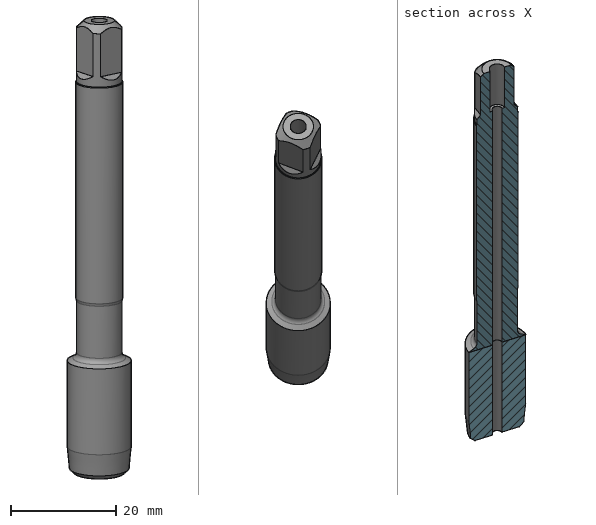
import cadquery as cq

total_length = 89.0

head_diameter = 12.2
lead_length = 5.2
lead_end_diameter = 11.4
tip_diameter = 9.5
tip_chamfer_height = 0.9
head_shoulder_z = 22.1

neck_diameter = 8.7
neck_fillet_radius = 1.2
shoulder_diameter = 10.1
shoulder_end_z = 22.6
neck_start_z = 23.7
neck_end_z = 33.9

shank_diameter = 9.0
shank_lower_chamfer_height = 0.5
shank_end_z = 77.1
shank_upper_chamfer_height = 0.2

drive_diameter = 8.7
square_width = 7.1
square_start_z = 79.1
runout_height = 0.9
drive_top_diameter = 5.8
drive_chamfer_height = 1.4

bore_diameter = 2.0
counterbore_diameter = 3.0
counterbore_depth = total_length - square_start_z

head_radius = head_diameter / 2
neck_radius = neck_diameter / 2
shank_radius = shank_diameter / 2
drive_radius = drive_diameter / 2


def revolve_profile(profile):
    """Turn a closed radius-height profile about the Z axis."""
    return profile.close().revolve(360, (0, 0, 0), (0, 1, 0))


def cut_bore(body):
    """Drill the coolant bore along the whole axis, wider at the drive end."""
    bore = cq.Workplane("XY").circle(bore_diameter / 2).extrude(total_length)
    counterbore = (
        cq.Workplane("XY")
        .workplane(offset=total_length - counterbore_depth)
        .circle(counterbore_diameter / 2)
        .extrude(counterbore_depth)
    )
    return body.cut(bore).cut(counterbore)


def make_cutting_head():
    """Threaded end as a plain cylinder with a tapered lead and a chamfered tip."""
    profile = (
        cq.Workplane("XZ")
        .moveTo(0, 0)
        .lineTo(tip_diameter / 2, 0)
        .lineTo(lead_end_diameter / 2, tip_chamfer_height)
        .lineTo(head_radius, lead_length)
        .lineTo(head_radius, head_shoulder_z)
        .lineTo(0, head_shoulder_z)
    )
    return cut_bore(revolve_profile(profile))


def make_flat_cutter():
    """Material outside one flat on the +X side, with a sloping run-out at its foot."""
    flat_x = square_width / 2
    return (
        cq.Workplane("XZ")
        .moveTo(flat_x, total_length)
        .lineTo(flat_x, square_start_z)
        .lineTo(drive_radius, square_start_z - runout_height)
        .lineTo(drive_radius, total_length)
        .close()
        .extrude(drive_radius, both=True)
    )


def make_shank():
    """Shoulder, neck, shank and square drive in one turned and milled body."""
    profile = (
        cq.Workplane("XZ")
        .moveTo(0, head_shoulder_z)
        .lineTo(head_radius, head_shoulder_z)
        .lineTo(shoulder_diameter / 2, shoulder_end_z)
        .radiusArc((neck_radius, neck_start_z), neck_fillet_radius)
        .lineTo(neck_radius, neck_end_z)
        .lineTo(shank_radius, neck_end_z + shank_lower_chamfer_height)
        .lineTo(shank_radius, shank_end_z - shank_upper_chamfer_height)
        .lineTo(drive_radius, shank_end_z)
        .lineTo(drive_radius, total_length - drive_chamfer_height)
        .lineTo(drive_top_diameter / 2, total_length)
        .lineTo(0, total_length)
    )
    body = revolve_profile(profile)
    flat_cutter = make_flat_cutter()
    for side in range(4):
        body = body.cut(flat_cutter.rotate((0, 0, 0), (0, 0, 1), 90 * side))
    return cut_bore(body)


cutting_head = make_cutting_head()
shank = make_shank()

result = cq.Compound.makeCompound([cutting_head.val(), shank.val()])